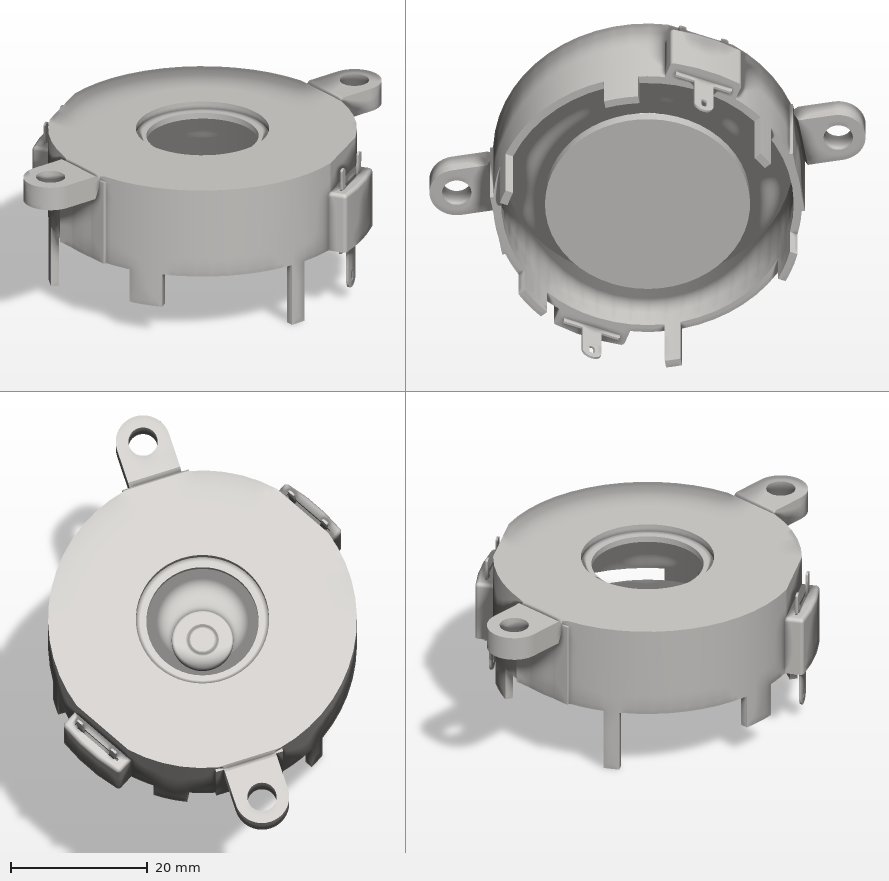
import cadquery as cq
housing_dia = 45.2
cavity_dia = 42.8
housing_height = 13.75
recess_dia = 19.5
recess_depth = 1.15
port_dia = 16.4
roof_thickness = 2.05

flat_distance = 22.0
side_turn = 0.5
box_reach = 25.1
box_width = 11.05
box_height = 9.2
box_bulge = 0.5
box_fillet = 0.55
box_root = 21.7

blade_distance = 23.3
blade_thickness = 0.35
shoulder_width = 8.8
shoulder_drop = 0.9
shoulder_fillet = 0.3
tongue_width = 2.95
tongue_drop = 7.8
eye_width = 0.8
eye_length = 1.7
eye_drop = 6.0
prong_width = 1.15
prong_gap = 4.9
prong_rise = 3.15
prong_lean = 0.3
prong_round = 0.35
box_slot_length = 8.3
box_slot_width = 0.55
box_slot_depth = 0.55
box_relief_length = 7.1

ear_angle = 60
ear_radius = 4.0
ear_hole_dia = 4.3
ear_hole_distance = 28.32
ear_thickness = 3.6
ear_neck_depth = 1.95
ear_bottom_setback = 0.6
ear_root = 21.95
pad_distance = 22.5
pad_width = 10.25
pad_root = 21.7
pad_top_drop = 0.8
groove_depth = 0.5
groove_inner_width = 0.4
groove_outer_width = 0.55

short_leg_width = 5.1
short_leg_length = 5.2
short_leg_angles = [30, 150, 270]
long_leg_width = 2.35
long_leg_length = 9.5
long_leg_angles = [90, 210, 330]

disc_dia = 30.0
disc_thickness = 1.6
boss_dia = 9.0
boss_height = 0.85
boss_fillet = 0.4
ring_groove_outer_dia = 4.8
ring_groove_mid_dia = 4.2
ring_groove_inner_dia = 3.6
ring_groove_depth = 0.3


def turned(shape, angle):
    """Turn a feature built along +X to its angle about the housing axis."""
    return shape.rotate((0, 0, 0), (0, 0, 1), angle)


def make_shell():
    """Cup with a stepped port in its roof and a flat on either side."""
    shell = cq.Workplane("XY").circle(housing_dia / 2).extrude(housing_height)
    flats = cq.Workplane("XY").rect(2 * flat_distance, housing_dia).extrude(housing_height)
    shell = shell.intersect(turned(flats, side_turn))
    cavity = cq.Workplane("XY").circle(cavity_dia / 2).extrude(housing_height - roof_thickness)
    port = cq.Workplane("XY").circle(port_dia / 2).extrude(housing_height)
    recess = (
        cq.Workplane("XY")
        .workplane(offset=housing_height - recess_depth)
        .circle(recess_dia / 2)
        .extrude(recess_depth)
    )
    return shell.cut(cavity).cut(port).cut(recess)


def make_legs(width, length, angles):
    """Legs below the rim: strips of the cup wall carried on downwards."""
    wall = (
        cq.Workplane("XY")
        .circle(housing_dia / 2)
        .circle(cavity_dia / 2)
        .extrude(-length)
    )
    strips = cq.Workplane("XY")
    for angle in angles:
        strip = (
            cq.Workplane("XY")
            .center(housing_dia / 2, 0)
            .rect(housing_dia, width)
            .extrude(-length)
        )
        strips = strips.union(turned(strip, angle))
    return wall.intersect(strips)


def make_box():
    """Terminal box with a bulged outer face and a slot around the blade."""
    half = box_width / 2
    box = (
        cq.Workplane("XY")
        .moveTo(box_root, -half)
        .lineTo(box_reach - box_bulge, -half)
        .threePointArc((box_reach, 0), (box_reach - box_bulge, half))
        .lineTo(box_root, half)
        .close()
        .extrude(box_height)
    )
    box = box.edges("|Z").edges(">X").fillet(box_fillet)
    box = box.faces(">Z").edges("not <X").fillet(box_fillet)
    slot_floor = box_height - box_slot_depth
    for width, length in [(blade_thickness, box_slot_length), (box_slot_width, box_relief_length)]:
        slot = (
            cq.Workplane("XY")
            .workplane(offset=slot_floor)
            .center(blade_distance, 0)
            .rect(width, length)
            .extrude(box_slot_depth)
        )
        box = box.cut(slot)
    return box


def blade_plate(outline):
    """Extrude an outline drawn in the YZ plane to the blade thickness."""
    return outline.extrude(blade_thickness / 2, both=True).translate((blade_distance, 0, 0))


def make_prong(side):
    """Prong above the box, leaning away from its partner."""
    inner = side * prong_gap / 2
    outer = inner + side * prong_width
    lean = side * prong_lean
    base = box_height - box_slot_depth
    tip = box_height + prong_rise
    outline = (
        cq.Workplane("YZ")
        .moveTo(inner, base)
        .lineTo(outer, base)
        .lineTo(outer + lean, tip)
        .lineTo(inner + lean, tip)
        .close()
    )
    return blade_plate(outline).edges("|X and >Z").fillet(prong_round)


def make_blade():
    """Blade with two prongs, a shoulder below the box and a tongue with an eye."""
    shoulder = blade_plate(
        cq.Workplane("YZ")
        .center(0, (box_height - box_slot_depth - shoulder_drop) / 2)
        .rect(shoulder_width, box_height - box_slot_depth + shoulder_drop)
    )
    shoulder = shoulder.edges("|X and <Z").fillet(shoulder_fillet)
    half = tongue_width / 2
    tongue = blade_plate(
        cq.Workplane("YZ")
        .moveTo(-half, 0)
        .lineTo(-half, half - tongue_drop)
        .threePointArc((0, -tongue_drop), (half, half - tongue_drop))
        .lineTo(half, 0)
        .close()
    )
    eye = blade_plate(cq.Workplane("YZ").center(0, -eye_drop).slot2D(eye_length, eye_width, 90))
    blade = shoulder.union(tongue).cut(eye)
    for side in (-1, 1):
        blade = blade.union(make_prong(side))
    return blade


def make_ear():
    """Ear with a hole, tapered underneath where it meets its pad."""
    ear_end = ear_hole_distance + ear_radius
    top = housing_height
    profile = (
        cq.Workplane("XZ")
        .moveTo(ear_root, top)
        .lineTo(ear_end, top)
        .lineTo(ear_end, top - ear_thickness)
        .lineTo(pad_distance + ear_bottom_setback, top - ear_thickness)
        .lineTo(pad_distance, top - ear_neck_depth)
        .lineTo(ear_root, top - ear_neck_depth)
        .close()
        .extrude(ear_radius, both=True)
    )
    plan = (
        cq.Workplane("XY")
        .moveTo(ear_root, -ear_radius)
        .lineTo(ear_hole_distance, -ear_radius)
        .threePointArc((ear_end, 0), (ear_hole_distance, ear_radius))
        .lineTo(ear_root, ear_radius)
        .close()
        .extrude(top)
    )
    hole = cq.Workplane("XY").center(ear_hole_distance, 0).circle(ear_hole_dia / 2).extrude(top)
    return profile.intersect(plan).cut(hole)


def make_pad():
    """Flat pad on the cup wall below the ear's top."""
    return (
        cq.Workplane("XY")
        .center((pad_root + pad_distance) / 2, 0)
        .rect(pad_distance - pad_root, pad_width)
        .extrude(housing_height - pad_top_drop)
    )


def make_ear_groove():
    """V-groove cutter across the top, between the roof and the ear."""
    return (
        cq.Workplane("XZ")
        .moveTo(pad_distance - groove_inner_width, housing_height)
        .lineTo(pad_distance, housing_height - groove_depth)
        .lineTo(pad_distance + groove_outer_width, housing_height)
        .close()
        .extrude(pad_width / 2, both=True)
    )


def make_housing():
    housing = make_shell()
    housing = housing.union(make_legs(long_leg_width, long_leg_length, long_leg_angles))
    housing = housing.union(make_legs(short_leg_width, short_leg_length, short_leg_angles))
    for half_turn in (0, 180):
        housing = housing.union(turned(make_box(), side_turn + half_turn))
        housing = housing.union(turned(make_blade(), side_turn + half_turn))
        housing = housing.union(turned(make_pad(), ear_angle + half_turn))
        housing = housing.union(turned(make_ear(), ear_angle + half_turn))
        housing = housing.cut(turned(make_ear_groove(), ear_angle + half_turn))
    return housing


def make_disc():
    """Disc level with the housing rim, with a rounded boss and a ring-shaped V-groove."""
    boss_top = disc_thickness + boss_height
    disc = cq.Workplane("XY").circle(disc_dia / 2).extrude(disc_thickness)
    boss = cq.Workplane("XY").circle(boss_dia / 2).extrude(boss_top)
    boss = boss.faces(">Z").edges().fillet(boss_fillet)
    groove = (
        cq.Workplane("XZ")
        .moveTo(ring_groove_inner_dia / 2, boss_top)
        .lineTo(ring_groove_mid_dia / 2, boss_top - ring_groove_depth)
        .lineTo(ring_groove_outer_dia / 2, boss_top)
        .close()
        .revolve(360, (0, 0, 0), (0, 1, 0))
    )
    return disc.union(boss).cut(groove)


housing = make_housing()
disc = make_disc()
result = cq.Compound.makeCompound([housing.val(), disc.val()])